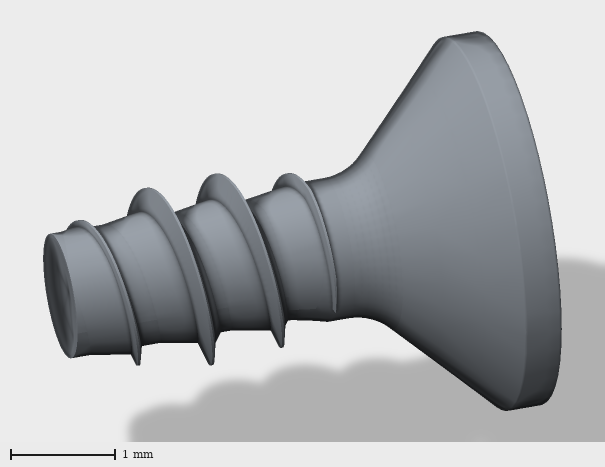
import cadquery as cq
import math


length = 4.5
head_radius = 1.825
head_depth = 0.36
rim_fillet = 0.03
cone_angle = math.radians(45)
shank_radius = 0.685
neck_fillet = 0.6
shank_end_depth = 1.947

core_radius = 0.608
runout_end_depth = 2.3
dish_radius = 0.57
dish_depth = 0.035

pitch = 0.708
run_in_pitch = 0.26
first_crest_depth = 2.012
start_turn = -0.3
end_turn = 3.6
points_per_turn = 24

crest_radius = 0.905
crest_half_width = 0.012
flank_bend_offset = -0.07
flank_bend_drop = 0.2
flank_root_offset = -0.15
flank_root_drop = 0.305
tip_flank_slope = 0.35
shoulder_radius = 0.67
shoulder_drop_min = 0.06
taper_end_offset = 0.53
taper_drop = 0.075
buried_radius = 0.2

crest_growth_per_turn = 0.13
crest_full_turn = 1.0
crest_decay_turn = 2.0
crest_decay_per_turn = 0.195


def crest_radius_at(turn):
    """Crest radius after a number of turns: grows, stays full, then decays."""
    growth_left = max(0, crest_full_turn - turn)
    decay_done = max(0, turn - crest_decay_turn)
    return crest_radius - crest_growth_per_turn * growth_left - crest_decay_per_turn * decay_done


def thread_section(turn):
    """(axial offset, radius) corners of the thread and of the tapered root behind it."""
    crest = crest_radius_at(turn)
    shoulder = min(shoulder_radius, crest - shoulder_drop_min)
    shoulder_offset = crest_half_width + tip_flank_slope * (crest - shoulder)
    return [
        (flank_root_offset, buried_radius),
        (flank_root_offset, crest - flank_root_drop),
        (flank_bend_offset, crest - flank_bend_drop),
        (-crest_half_width, crest),
        (crest_half_width, crest),
        (shoulder_offset, shoulder),
        (taper_end_offset, shoulder - taper_drop),
        (taper_end_offset, buried_radius),
    ]


def section_points(turn):
    """Corners of the thread section placed in space at the given turn."""
    angle = 2 * math.pi * turn
    crest_depth = first_crest_depth + turn * (run_in_pitch if turn < 0 else pitch)
    return [
        cq.Vector(-radius * math.sin(angle), -(crest_depth + offset), radius * math.cos(angle))
        for offset, radius in thread_section(turn)
    ]


def helical_strips(from_turn, to_turn):
    """Ruled faces between neighbouring corner curves over one stretch of the helix."""
    steps = math.ceil((to_turn - from_turn) * points_per_turn)
    turns = [from_turn + (to_turn - from_turn) * i / steps for i in range(steps + 1)]
    corner_paths = zip(*[section_points(turn) for turn in turns])
    curves = [cq.Edge.makeSpline(list(path)) for path in corner_paths]
    next_curves = curves[1:] + curves[:1]
    return [cq.Face.makeRuledSurface(*pair) for pair in zip(curves, next_curves)]


def make_thread():
    """Helical solid made of stretches of up to one turn, trimmed between the shank and the tip."""
    joints = [start_turn, *range(math.ceil(start_turn), math.ceil(end_turn)), end_turn]
    faces = []
    for from_turn, to_turn in zip(joints, joints[1:]):
        faces += helical_strips(from_turn, to_turn)
    for turn in (start_turn, end_turn):
        faces.append(cq.Face.makeFromWires(cq.Wire.makePolygon(section_points(turn), close=True)))
    thread = cq.Workplane(cq.Solid.makeSolid(cq.Shell.makeShell(faces)))
    threaded_zone = (
        cq.Workplane("XZ", origin=(0, -shank_end_depth, 0))
        .circle(head_radius)
        .extrude(length - shank_end_depth)
    )
    return thread.intersect(threaded_zone)


def make_body():
    """Head, neck, shank and core turned from one half profile."""
    neck_radius = shank_radius + neck_fillet * (1 - math.cos(cone_angle))
    neck_start_depth = head_depth + (head_radius - neck_radius) / math.tan(cone_angle)
    neck_end_depth = neck_start_depth + neck_fillet * math.sin(cone_angle)
    mid_angle = cone_angle / 2
    neck_middle = (
        shank_radius + neck_fillet * (1 - math.cos(mid_angle)),
        -(neck_end_depth - neck_fillet * math.sin(mid_angle)),
    )
    body = (
        cq.Workplane("XY")
        .lineTo(head_radius, 0)
        .lineTo(head_radius, -head_depth)
        .lineTo(neck_radius, -neck_start_depth)
        .threePointArc(neck_middle, (shank_radius, -neck_end_depth))
        .lineTo(shank_radius, -shank_end_depth)
        .lineTo(core_radius, -runout_end_depth)
        .lineTo(core_radius, -length)
        .lineTo(0, -length)
        .close()
        .revolve(360, (0, 0, 0), (0, 1, 0))
    )
    largest_circles = cq.selectors.RadiusNthSelector(-1)
    return body.edges(largest_circles).fillet(rim_fillet)


def make_tip_dish():
    """Shallow spherical hollow in the tip face."""
    sphere_radius = (dish_radius**2 + dish_depth**2) / (2 * dish_depth)
    centre_depth = length - dish_depth + sphere_radius
    return cq.Workplane("XY", origin=(0, -centre_depth, 0)).sphere(sphere_radius)


result = make_body().union(make_thread()).cut(make_tip_dish())